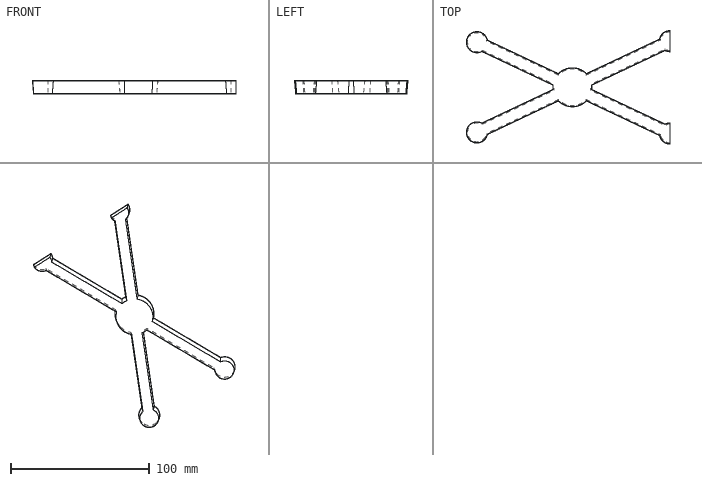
import cadquery as cq
import math

total_length = 147.2
total_width = 82.0
thickness = 9.5

draft_angle = 5.0

hub_radius = 14.1
pad_radius = 7.7
arm_width = 9.1

arm_angle = 25.3
left_arm_length = 76.2
right_pad_offset = total_width / 2 - pad_radius
right_arm_length = right_pad_offset / math.sin(math.radians(arm_angle))

left_end_x = -left_arm_length * math.cos(math.radians(arm_angle)) - pad_radius
right_end_x = left_end_x + total_length


def drafted_disc(radius):
    """Round disc with its full radius at the top face."""
    return cq.Workplane("XY").circle(radius).extrude(-thickness, taper=draft_angle)


def arm_with_pad(length, direction):
    """Straight arm from the hub centre with a round pad at its far end."""
    bar = (
        cq.Workplane("XY")
        .center(length / 2, 0)
        .rect(length, arm_width)
        .extrude(-thickness, taper=draft_angle)
    )
    pad = drafted_disc(pad_radius).translate((length, 0, 0))
    return bar.union(pad).rotate((0, 0, 0), (0, 0, 1), direction)


body = drafted_disc(hub_radius)
for side in (1, -1):
    body = body.union(arm_with_pad(right_arm_length, side * arm_angle))
    body = body.union(arm_with_pad(left_arm_length, 180 - side * arm_angle))

trim_size = total_length
trim_block = cq.Workplane("XY").box(trim_size, trim_size, trim_size)
result = body.cut(trim_block.translate((right_end_x + trim_size / 2, 0, 0)))